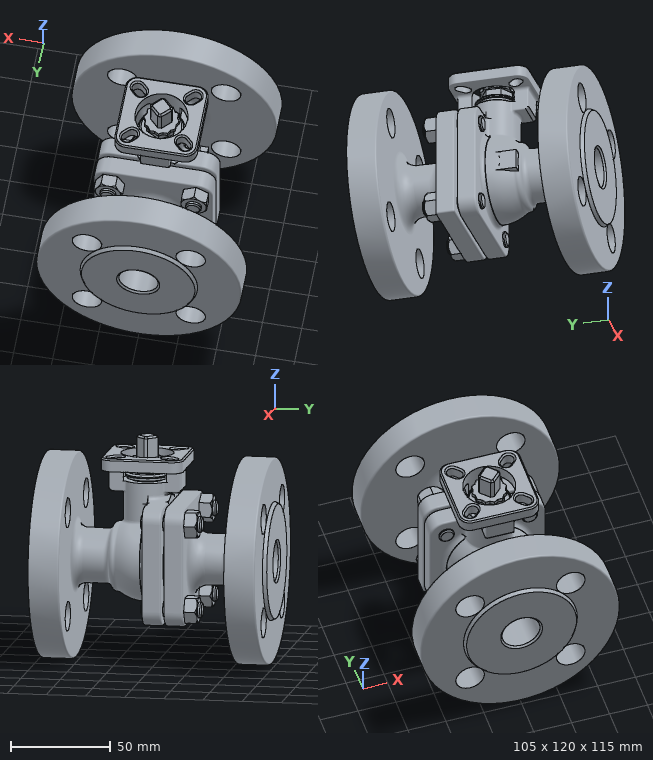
import cadquery as cq
import math


flange_radius = 52.5
flange_thickness = 16.0
flange_edge_round = 1.0
raised_face_height = 2.0
raised_face_radius = 30.0
raised_face_tip_radius = 29.0
bore_radius = 10.0
bore_chamfer = 1.0
pipe_bolt_circle_radius = 37.5
pipe_bolt_hole_radius = 7.5
pipe_bolt_count = 4
rear_face_y = 66.0
front_face_y = -54.0

joint_size = 61.0
joint_corner_radius = 8.0
joint_edge_round = 1.0
joint_thickness = 10.0
body_joint_back_y = 2.3
body_joint_face_y = body_joint_back_y + joint_thickness
joint_gap = 1.3
cap_joint_face_y = body_joint_face_y + joint_gap
cap_joint_back_y = cap_joint_face_y + joint_thickness
gasket_radius = 25.0

cap_pipe_radius = 13.1
cap_pipe_fillet = 8.0
rear_flange_inner_y = rear_face_y - raised_face_height - flange_thickness

ball_shell_radius = 22.5
shell_root_fillet = 2.5
shoulder_radius = 17.9
shoulder_fillet = 2.5
pipe_step_end_y = -20.0
body_pipe_radius = 14.0
body_pipe_fillet = 5.3
front_flange_inner_y = front_face_y + raised_face_height + flange_thickness

tag_face_x = -21.2
tag_depth = 10.0
tag_height = 10.1
tag_front_y = -16.0
tag_rear_y = -5.0

bolt_offset = 21.9
bolt_radius = 4.0
bolt_head_y = 0.9
bolt_end_y = 31.9
bolt_end_chamfer = 0.7
nut_height = 6.5
nut_across_corners = 14.8
nut_corner_chamfer = 0.9

neck_radius = 12.2
neck_top_z = 39.9
neck_shell_fillet = 2.2
neck_joint_fillet = 3.0

plate_size = 42.0
plate_bottom_z = 47.0
plate_top_z = 53.5
plate_corner_radius = 6.0
plate_top_chamfer = 0.75
plate_bottom_round = 0.3
plate_bore_radius = 13.3
slot_width = 5.7
slot_chamfer = 0.9
slot_inner_radius = 18.0
slot_outer_radius = 21.0
post_half_width = 7.5
post_outer_y = 18.6
post_bottom_z = 34.5
post_edge_round = 0.8
post_bottom_chamfer = 1.4
post_root_fillet = 2.0
post_neck_fillet = 1.6

stem_flat_size = 9.0
stem_corner_radius = 5.5
stem_top_z = 62.5
stem_chamfer = 1.0
gland_radius = 7.9
gland_top_z = 40.8
lower_washer_radius = 10.2
lower_washer_top_z = 42.2
upper_washer_radius = 11.2
upper_washer_chamfer = 1.0
upper_washer_top_z = 43.9
stem_nut_across_corners = 15.8
lock_plate_across_corners = 18.2
lock_plate_bottom_z = 48.8
lock_plate_top_z = 50.8


def cylinder_y(radius, start_y, end_y):
    """Cylinder on the bore axis between two Y positions."""
    return cq.Workplane("XZ", origin=(0, start_y, 0)).circle(radius).extrude(start_y - end_y)


def cylinder_z(radius, bottom_z, top_z):
    """Cylinder on the stem axis between two heights."""
    return cq.Workplane("XY", origin=(0, 0, bottom_z)).circle(radius).extrude(top_z - bottom_z)


def point_on_arc(center, radius, angle_degrees):
    """Point at an angle on a circle, used to place arcs."""
    angle = math.radians(angle_degrees)
    return (center[0] + radius * math.cos(angle), center[1] + radius * math.sin(angle))


def revolve_about_y(profile):
    """Revolve a closed (radius, Y) profile about the bore axis."""
    return profile.close().revolve(360, (0, 0, 0), (0, 1, 0))


def pipe_flange(face_y, outward):
    """Round drilled flange whose raised face lies at face_y; outward is +1 or -1 along Y."""
    outer_y = face_y - outward * raised_face_height
    inner_y = outer_y - outward * flange_thickness
    disc = cylinder_y(flange_radius, inner_y, outer_y).edges().fillet(flange_edge_round)
    raised_face = revolve_about_y(
        cq.Workplane("XY")
        .moveTo(0, outer_y)
        .lineTo(raised_face_radius, outer_y)
        .lineTo(raised_face_tip_radius, face_y)
        .lineTo(0, face_y)
    )
    holes = (
        cq.Workplane("XZ", origin=(0, inner_y, 0))
        .polarArray(pipe_bolt_circle_radius, 45, 360, pipe_bolt_count)
        .circle(pipe_bolt_hole_radius)
        .extrude(-outward * flange_thickness)
    )
    return disc.cut(holes).union(raised_face)


def joint_plate(face_y, sharp_corner):
    """Square joint flange; sharp_corner leaves the lower -X corner with only the edge rounding."""
    plate = cq.Workplane("XY").box(joint_size, joint_thickness, joint_size)
    rounded = plate.edges("|Y")
    if sharp_corner:
        rounded = plate.edges("|Y").edges(">X or >Z")
    plate = rounded.fillet(joint_corner_radius)
    if sharp_corner:
        plate = plate.edges("|Y and <X and <Z").fillet(joint_edge_round)
    plate = plate.faces("<Y or >Y").edges().fillet(joint_edge_round)
    return plate.translate((0, face_y + joint_thickness / 2, 0))


def cap_pipe():
    """Rear pipe, flared at both ends into the cap flange and the rear flange."""
    flare_radius = cap_pipe_radius + cap_pipe_fillet
    front_center = (flare_radius, cap_joint_back_y + cap_pipe_fillet)
    rear_center = (flare_radius, rear_flange_inner_y - cap_pipe_fillet)
    return revolve_about_y(
        cq.Workplane("XY")
        .moveTo(0, cap_joint_back_y)
        .lineTo(flare_radius, cap_joint_back_y)
        .threePointArc(point_on_arc(front_center, cap_pipe_fillet, 225), (cap_pipe_radius, front_center[1]))
        .lineTo(cap_pipe_radius, rear_center[1])
        .threePointArc(point_on_arc(rear_center, cap_pipe_fillet, 135), (flare_radius, rear_flange_inner_y))
        .lineTo(0, rear_flange_inner_y)
    )


def body_shell():
    """Ball shell, shoulder and front pipe as one turned shape."""
    root_center = (ball_shell_radius + shell_root_fillet, body_joint_back_y - shell_root_fillet)

    shoulder_center_x = shoulder_radius + shoulder_fillet
    shoulder_center_distance = ball_shell_radius + shoulder_fillet
    shoulder_y = -math.sqrt(shoulder_center_distance**2 - shoulder_center_x**2)
    shoulder_center = (shoulder_center_x, shoulder_y)
    shell_end_angle = math.degrees(math.atan2(shoulder_y, shoulder_center_x))
    shell_end = point_on_arc((0, 0), ball_shell_radius, shell_end_angle)
    shoulder_middle_angle = 180 + shell_end_angle / 2

    step_drop = shoulder_radius - body_pipe_radius
    step_length = shoulder_y - pipe_step_end_y
    step_radius = (step_drop**2 + step_length**2) / (4 * step_drop)
    step_sweep = math.degrees(math.asin(step_length / (2 * step_radius)))
    convex_center = (shoulder_radius - step_radius, shoulder_y)
    concave_center = (body_pipe_radius + step_radius, pipe_step_end_y)
    step_middle = point_on_arc(convex_center, step_radius, -step_sweep)

    flare_radius = body_pipe_radius + body_pipe_fillet
    flare_center = (flare_radius, front_flange_inner_y + body_pipe_fillet)
    return revolve_about_y(
        cq.Workplane("XY")
        .moveTo(0, body_joint_back_y)
        .lineTo(root_center[0], body_joint_back_y)
        .threePointArc(
            point_on_arc(root_center, shell_root_fillet, 135),
            (ball_shell_radius, root_center[1]),
        )
        .lineTo(ball_shell_radius, 0)
        .threePointArc(point_on_arc((0, 0), ball_shell_radius, shell_end_angle / 2), shell_end)
        .threePointArc(
            point_on_arc(shoulder_center, shoulder_fillet, shoulder_middle_angle),
            (shoulder_radius, shoulder_y),
        )
        .threePointArc(point_on_arc(convex_center, step_radius, -step_sweep / 2), step_middle)
        .threePointArc(
            point_on_arc(concave_center, step_radius, 180 - step_sweep / 2),
            (body_pipe_radius, pipe_step_end_y),
        )
        .lineTo(body_pipe_radius, flare_center[1])
        .threePointArc(
            point_on_arc(flare_center, body_pipe_fillet, 225),
            (flare_radius, front_flange_inner_y),
        )
        .lineTo(0, front_flange_inner_y)
    )


def rating_tag():
    """Flat pad standing slightly proud of the shell on its -X side."""
    tag = cq.Workplane("XY").box(
        tag_depth,
        tag_rear_y - tag_front_y,
        tag_height,
        centered=(False, False, True),
    )
    return tag.translate((tag_face_x, tag_front_y, 0))


def bolt(x, z, corner_angle):
    """Bolt through both joint flanges, with its nut on the cap side."""
    shank = (
        cq.Workplane("XZ", origin=(x, bolt_head_y, z))
        .circle(bolt_radius)
        .extrude(bolt_head_y - bolt_end_y)
        .edges()
        .chamfer(bolt_end_chamfer)
    )
    nut = (
        cq.Workplane("XZ")
        .polygon(6, nut_across_corners)
        .extrude(-nut_height)
        .rotate((0, 0, 0), (0, 1, 0), corner_angle)
    )
    crown = (
        cq.Workplane("XZ")
        .circle(nut_across_corners / 2)
        .extrude(-nut_height)
        .faces(">Y")
        .chamfer(nut_corner_chamfer)
    )
    return shank.union(nut.intersect(crown).translate((x, cap_joint_back_y, z)))


def stem_neck():
    """Neck turned about the stem axis, with a fillet where it meets the ball shell."""
    fillet_x = neck_radius + neck_shell_fillet
    center_distance = ball_shell_radius + neck_shell_fillet
    fillet_z = math.sqrt(center_distance**2 - fillet_x**2)
    fillet_center = (fillet_x, fillet_z)
    contact_scale = ball_shell_radius / center_distance
    contact = (fillet_x * contact_scale, fillet_z * contact_scale)
    contact_angle = 180 + math.degrees(math.atan2(fillet_z, fillet_x))
    middle_angle = (180 + contact_angle) / 2
    return (
        cq.Workplane("XZ")
        .moveTo(0, contact[1])
        .lineTo(*contact)
        .threePointArc(point_on_arc(fillet_center, neck_shell_fillet, middle_angle), (neck_radius, fillet_z))
        .lineTo(neck_radius, neck_top_z)
        .lineTo(0, neck_top_z)
        .close()
        .revolve(360, (0, 0, 0), (0, 1, 0))
    )


def neck_top_fillet():
    """Fillet between the neck and the top of the body joint flange."""
    joint_top_z = joint_size / 2
    base_z = joint_top_z - joint_edge_round
    outer = neck_radius + neck_joint_fillet
    center = (outer, joint_top_z + neck_joint_fillet)
    ring = (
        cq.Workplane("XZ")
        .moveTo(0, base_z)
        .lineTo(outer, base_z)
        .lineTo(outer, joint_top_z)
        .threePointArc(point_on_arc(center, neck_joint_fillet, 225), (neck_radius, center[1]))
        .lineTo(0, center[1])
        .close()
        .revolve(360, (0, 0, 0), (0, 1, 0))
    )
    slab = cq.Workplane("XY").box(2 * outer, joint_thickness, 2 * center[1])
    slab = slab.translate((0, body_joint_back_y + joint_thickness / 2, 0))
    return ring.intersect(slab)


def neck_side_fillets():
    """Upright fillets between the neck and the back of the body joint flange."""
    center_y = body_joint_back_y - shell_root_fillet
    center_x = math.sqrt((neck_radius + shell_root_fillet) ** 2 - center_y**2)
    contact_scale = neck_radius / (neck_radius + shell_root_fillet)
    wedge = (
        cq.Workplane("XY")
        .moveTo(0, center_y * contact_scale)
        .lineTo(center_x * contact_scale, center_y * contact_scale)
        .threePointArc(
            point_on_arc((center_x, center_y), shell_root_fillet, 135),
            (center_x, body_joint_back_y),
        )
        .lineTo(center_x, body_joint_back_y + joint_edge_round)
        .lineTo(0, body_joint_back_y + joint_edge_round)
        .close()
        .extrude(joint_size / 2 - joint_edge_round)
    )
    return wedge.union(wedge.mirror("YZ")).cut(cylinder_y(shoulder_radius, body_joint_face_y, center_y))


def post_bar():
    """Bar along Y whose two ends form the posts under the mounting plate."""
    bar = cq.Workplane("XY", origin=(0, 0, post_bottom_z)).rect(2 * post_half_width, 2 * post_outer_y)
    bar = bar.extrude(plate_bottom_z - post_bottom_z)
    bar = bar.faces("<Z").edges("|X").chamfer(post_bottom_chamfer)
    return bar.faces("<X or >X").edges("not >Z").fillet(post_edge_round)


def countersink(sketch, size):
    """Bevel cutter widening a hole outline by the given size at the top of the mounting plate."""
    wide = sketch.offset2D(size).extrude(-size, taper=45)
    return wide.translate((0, 0, plate_top_z))


def slot_outline():
    """Outline of one mounting slot, lying along the X axis."""
    center = (slot_inner_radius + slot_outer_radius) / 2
    length = slot_outer_radius - slot_inner_radius + slot_width
    return cq.Workplane("XY").center(center, 0).slot2D(length, slot_width)


def box_around_stem(reach_x, reach_y, bottom_z, top_z):
    """Selector for edges centred in a box about the stem axis."""
    return cq.selectors.BoxSelector((-reach_x, -reach_y, bottom_z), (reach_x, reach_y, top_z))


def mounting_plate():
    """Square actuator plate on two posts, with a central bore and four diagonal slots."""
    thickness = plate_top_z - plate_bottom_z
    plate = (
        cq.Workplane("XY")
        .rect(plate_size, plate_size)
        .extrude(thickness)
        .edges("|Z")
        .fillet(plate_corner_radius)
        .faces(">Z")
        .chamfer(plate_top_chamfer)
        .faces("<Z")
        .fillet(plate_bottom_round)
        .translate((0, 0, plate_bottom_z))
    )
    margin = post_edge_round
    reach_x = post_half_width + margin
    reach_y = post_outer_y + margin
    root_edges = box_around_stem(reach_x, reach_y, plate_bottom_z - margin, plate_bottom_z + margin)
    plate = plate.union(post_bar()).edges(root_edges).fillet(post_root_fillet)

    plate = plate.cut(cylinder_z(plate_bore_radius, neck_top_z, plate_top_z))
    neck_edges = box_around_stem(reach_x, neck_radius + margin, post_bottom_z - margin, neck_top_z - margin)
    neck_core = cylinder_z(neck_radius, joint_size / 2, neck_top_z)
    plate = plate.union(neck_core).clean().edges(neck_edges).fillet(post_neck_fillet)

    slot = slot_outline().extrude(thickness).translate((0, 0, plate_bottom_z))
    slot = slot.union(countersink(slot_outline(), slot_chamfer))
    for angle in (45, 135, 225, 315):
        plate = plate.cut(slot.rotate((0, 0, 0), (0, 0, 1), angle))
    return plate


def square_stem():
    """Square drive end, turned 45 degrees, with its corners turned down."""
    square = (
        cq.Workplane("XY", origin=(0, 0, neck_top_z))
        .rect(stem_flat_size, stem_flat_size)
        .extrude(stem_top_z - neck_top_z)
        .rotate((0, 0, 0), (0, 0, 1), 45)
    )
    turned = cylinder_z(stem_corner_radius, neck_top_z, stem_top_z)
    return square.intersect(turned).faces(">Z").chamfer(stem_chamfer)


def packing_stack():
    """Gland, washers, hexagon nut and twelve-point lock plate below the drive square."""
    lower_washer = cylinder_z(lower_washer_radius, gland_top_z, lower_washer_top_z)
    upper_washer = cylinder_z(upper_washer_radius, lower_washer_top_z, upper_washer_top_z)
    upper_washer = upper_washer.faces(">Z").chamfer(upper_washer_chamfer)
    nut = (
        cq.Workplane("XY", origin=(0, 0, upper_washer_top_z))
        .polygon(6, stem_nut_across_corners)
        .extrude(lock_plate_bottom_z - upper_washer_top_z)
        .rotate((0, 0, 0), (0, 0, 1), 90)
    )
    lock_hexagon = (
        cq.Workplane("XY", origin=(0, 0, lock_plate_bottom_z))
        .polygon(6, lock_plate_across_corners)
        .extrude(lock_plate_top_z - lock_plate_bottom_z)
    )
    lock_plate = lock_hexagon.union(lock_hexagon.rotate((0, 0, 0), (0, 0, 1), 90))
    gland = cylinder_z(gland_radius, neck_top_z, gland_top_z)
    return gland.union(lower_washer).union(upper_washer).union(nut).union(lock_plate)


def bore():
    """Through bore with a chamfer at each raised face."""
    mouth_radius = bore_radius + bore_chamfer
    return revolve_about_y(
        cq.Workplane("XY")
        .moveTo(0, front_face_y)
        .lineTo(mouth_radius, front_face_y)
        .lineTo(bore_radius, front_face_y + bore_chamfer)
        .lineTo(bore_radius, rear_face_y - bore_chamfer)
        .lineTo(mouth_radius, rear_face_y)
        .lineTo(0, rear_face_y)
    )


result = body_shell().union(cap_pipe())
result = result.union(pipe_flange(front_face_y, -1)).union(pipe_flange(rear_face_y, 1))
result = result.union(joint_plate(body_joint_back_y, False)).union(joint_plate(cap_joint_face_y, True))
result = result.union(cylinder_y(gasket_radius, body_joint_face_y, cap_joint_face_y))
result = result.union(stem_neck()).union(neck_top_fillet()).union(neck_side_fillets())
result = result.union(rating_tag())
for x_side in (-1, 1):
    for z_side in (-1, 1):
        nut_angle = 90 if x_side < 0 < z_side else 0
        result = result.union(bolt(x_side * bolt_offset, z_side * bolt_offset, nut_angle))
result = result.union(mounting_plate()).union(packing_stack()).union(square_stem())
result = result.cut(bore())